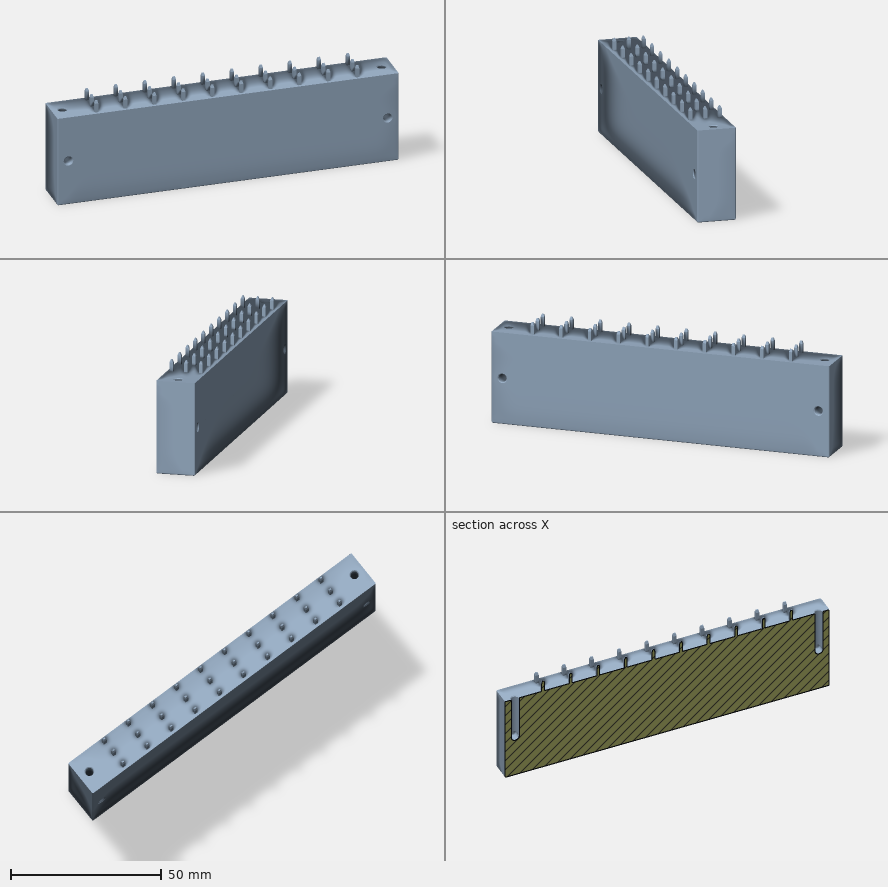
import cadquery as cq

body_width = 13.4
body_length = 119.4
overall_height = 36.0
pin_height = 4.2
body_height = overall_height - pin_height
corner_radius = 0.4
bottom_radius = 0.5

pin_rows = 10
pin_columns = 3
row_pitch = 10.1
column_pitch = row_pitch / 2
pin_size = 1.2
tip_height = 1.0
tip_width = 0.4
tip_length = 0.7

hole_diameter = 2.7
countersink_diameter = 3.3
hole_offset = 55.9
hole_height = body_height / 2


def make_body():
    block = cq.Workplane("XY").box(
        body_width, body_length, body_height, centered=(True, True, False)
    )
    return block.edges("|Z").fillet(corner_radius).faces("<Z").edges().fillet(bottom_radius)


def cut_fixing_holes(body):
    """Cross-drill each end along X and open it to the top face, with 45 degree countersinks."""
    countersink_depth = (countersink_diameter - hole_diameter) / 2
    for y in (-hole_offset, hole_offset):
        mouths = (
            cq.Plane(origin=(-body_width / 2, y, hole_height), normal=(1, 0, 0)),
            cq.Plane(origin=(body_width / 2, y, hole_height), normal=(-1, 0, 0)),
            cq.Plane(origin=(0, y, body_height), normal=(0, 0, -1)),
        )
        depths = (body_width / 2, body_width / 2, body_height - hole_height)
        for mouth, depth in zip(mouths, depths):
            drill = cq.Workplane(mouth).circle(hole_diameter / 2).extrude(depth)
            countersink = (
                cq.Workplane(mouth)
                .circle(countersink_diameter / 2)
                .workplane(offset=countersink_depth)
                .circle(hole_diameter / 2)
                .loft()
            )
            body = body.cut(drill).cut(countersink)
    return body


def make_pins():
    """Square pins whose tips taper to a narrow flat that is longer along Y than along X."""
    shoulder_height = pin_height - tip_height
    shank = cq.Workplane("XY").rect(pin_size, pin_size).extrude(shoulder_height)
    tip = (
        cq.Workplane("XY", origin=(0, 0, shoulder_height))
        .rect(pin_size, pin_size)
        .workplane(offset=tip_height)
        .rect(tip_width, tip_length)
        .loft()
    )
    pin = shank.union(tip).val()
    return (
        cq.Workplane("XY", origin=(0, 0, body_height))
        .rarray(column_pitch, row_pitch, pin_columns, pin_rows)
        .eachpoint(lambda place: pin.moved(place))
    )


result = cut_fixing_holes(make_body()).union(make_pins())